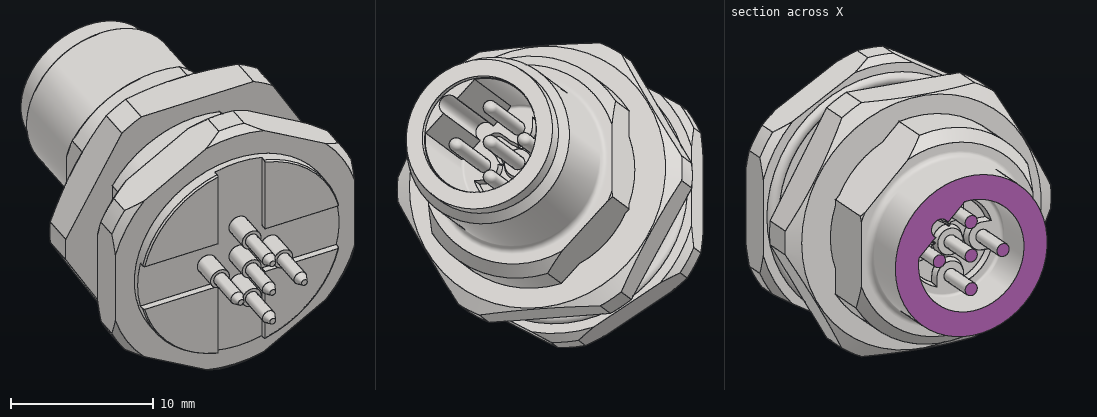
import cadquery as cq
import math


collar_end = 1.38
sleeve_bevel_end = 2.01
shoulder_x = 9.47
shoulder_fillet = 0.5
flange_front = 19.25
flange_thickness = 2.7
flange_rear = flange_front + flange_thickness
insert_rear = 22.45
pad_height = 0.5

collar_d = 10.8
sleeve_d = 12.0
barrel_d = 16.0
barrel_bevel = 0.83
flat_width = 13.52
flat_angles = (0, 45)
pad_gap = 3.73
rear_bevel_length = 0.17
rear_bevel_depth = 0.08

hex_width = 19.02
flange_corner_d = 20.9
flange_bevel = 0.52
nut_corner_d = 21.0
nut_front = 13.45
nut_thickness = 2.87
nut_bevel_length = 0.52
nut_face_d = 18.88
nut_bore_d = 14.35

bead_ring_r = 8.75
bead_tube_r = 0.52
bead_height = 0.3

mouth_d = 8.4
mouth_depth = 0.5
socket_d = 8.28
socket_floor = 8.97
socket_fillet = 0.25
key_angle = 45
key_flat_r = 3.25
key_notch_r = 0.7
key_notch_center_r = 3.42

pin_pitch_r = 2.5
pin_d = 1.0
pin_tip_x = 2.05
pin_shoulder_d = 1.5
pin_shoulder_end = 24.43
pin_cone_start = 27.0
pin_cone_end_d = 0.47
pin_end = 27.6

relief_depth = 0.5
relief_wall_run = 0.17
relief_taper = math.degrees(math.atan(relief_wall_run / relief_depth))
relief_r = 3.4
center_boss_d = 2.0
outer_boss_d = 2.1
lobe_center = 1.63
lobe_r = 0.65
lobe_neck = 1.3

pin_places = [(0, 0), (pin_pitch_r, 0), (0, pin_pitch_r), (-pin_pitch_r, 0), (0, -pin_pitch_r)]


def plane_at(x):
    """Cross-section plane at station x, with local axes Y and Z."""
    return cq.Workplane("YZ", origin=(x, 0, 0))


def disc(x_start, x_end, diameter):
    return plane_at(x_start).circle(diameter / 2).extrude(x_end - x_start)


def turned(points):
    """Solid turned about X from (x, radius) points."""
    return cq.Workplane("XY").polyline(points).close().revolve(360, (0, 0, 0), (1, 0, 0))


def hexagon(x_start, thickness, corner_angle):
    """Hexagonal prism whose first corner lies at corner_angle from +Y towards +Z."""
    corner_to_corner = hex_width / math.cos(math.radians(30))
    prism = plane_at(x_start).polygon(6, corner_to_corner).extrude(thickness)
    return prism.rotate((0, 0, 0), (1, 0, 0), corner_angle)


def sleeve():
    collar_r = collar_d / 2
    sleeve_r = sleeve_d / 2
    fillet_start = shoulder_x - shoulder_fillet
    fillet_mid = shoulder_fillet * math.sin(math.radians(45))
    return (
        cq.Workplane("XY")
        .moveTo(0, 0)
        .lineTo(0, collar_r)
        .lineTo(collar_end, collar_r)
        .lineTo(sleeve_bevel_end, sleeve_r)
        .lineTo(fillet_start, sleeve_r)
        .threePointArc(
            (fillet_start + fillet_mid, sleeve_r + shoulder_fillet - fillet_mid),
            (shoulder_x, sleeve_r + shoulder_fillet),
        )
        .lineTo(shoulder_x, 0)
        .close()
        .revolve(360, (0, 0, 0), (1, 0, 0))
    )


def barrel():
    body = disc(shoulder_x, flange_front, barrel_d).faces("<X").chamfer(barrel_bevel)
    for angle in flat_angles:
        slab = plane_at(shoulder_x).rect(flat_width, 2 * barrel_d).extrude(flange_front - shoulder_x)
        body = body.intersect(slab.rotate((0, 0, 0), (1, 0, 0), angle))
    return body


def flange():
    rounded_corners = disc(flange_front, flange_rear, flange_corner_d).faces("<X or >X").chamfer(flange_bevel)
    return hexagon(flange_front, flange_thickness, 90).intersect(rounded_corners)


def sealing_bead():
    bead_x = flange_front - bead_height + bead_tube_r
    return (
        cq.Workplane("XY")
        .center(bead_x, bead_ring_r)
        .circle(bead_tube_r)
        .revolve(360, (0, -bead_ring_r, 0), (1, -bead_ring_r, 0))
    )


def rear_end():
    """Contact insert behind the flange, its end face divided into four pads by crossed gaps."""
    barrel_r = barrel_d / 2
    pads_rear = insert_rear + pad_height
    body = turned([
        (flange_rear, 0),
        (flange_rear, barrel_r),
        (pads_rear - rear_bevel_length, barrel_r),
        (pads_rear, barrel_r - rear_bevel_depth),
        (pads_rear, 0),
    ])
    gap = plane_at(insert_rear).rect(pad_gap, barrel_d).extrude(pad_height)
    crossing_gap = plane_at(insert_rear).rect(barrel_d, pad_gap).extrude(pad_height)
    return body.cut(gap).cut(crossing_gap)


def socket():
    """Void of the mating socket, with a coding key left standing along its wall."""
    mouth = disc(0, mouth_depth, mouth_d)
    bore = disc(mouth_depth, socket_floor, socket_d).faces(">X").edges().fillet(socket_fillet)
    key_length = socket_floor - mouth_depth
    key = (
        plane_at(mouth_depth)
        .center(key_flat_r + socket_d / 2, 0)
        .rect(socket_d, socket_d)
        .extrude(key_length)
    )
    notch = (
        plane_at(mouth_depth)
        .center(key_notch_center_r, 0)
        .circle(key_notch_r)
        .extrude(key_length)
    )
    notch_opening = (
        plane_at(mouth_depth)
        .center(key_notch_center_r / 2, 0)
        .rect(key_notch_center_r, 2 * key_notch_r)
        .extrude(key_length)
    )
    void = bore.cut(key).union(notch).union(notch_opening)
    return mouth.union(void.rotate((0, 0, 0), (1, 0, 0), key_angle))


def floor_relief():
    """Void sunk in the socket floor: three open quadrants, a lobe by the key, islands at the contacts."""
    floor = plane_at(socket_floor)
    relief = floor.circle(relief_r).extrude(relief_depth, taper=relief_taper)
    key_quadrant = floor.rect(relief_r, relief_r, centered=False).extrude(relief_depth)
    lobe_side = lobe_r * math.cos(math.radians(45))
    near = lobe_center - lobe_side
    far = lobe_center + lobe_side
    lobe = (
        floor.moveTo(-lobe_r, -lobe_r)
        .lineTo(lobe_neck, 0)
        .lineTo(far, near)
        .threePointArc((far, far), (near, far))
        .lineTo(0, lobe_neck)
        .close()
        .extrude(relief_depth, taper=relief_taper)
    )
    relief = relief.cut(key_quadrant).union(lobe)
    relief = relief.cut(floor.circle(center_boss_d / 2).extrude(relief_depth, taper=-relief_taper))
    for quarter_turn in range(4):
        island = (
            floor.center(pin_pitch_r + relief_r / 2, 0)
            .slot2D(relief_r + outer_boss_d, outer_boss_d)
            .extrude(relief_depth, taper=-relief_taper)
            .rotate((0, 0, 0), (1, 0, 0), 90 * quarter_turn)
        )
        relief = relief.cut(island)
    return relief


def contact(y, z):
    pin_r = pin_d / 2
    dome = cq.Workplane("XY").sphere(pin_r).translate((pin_tip_x + pin_r, 0, 0))
    shank = disc(pin_tip_x + pin_r, pin_cone_start, pin_d)
    shoulder = disc(insert_rear, pin_shoulder_end, pin_shoulder_d)
    cone = turned([
        (pin_cone_start, 0),
        (pin_cone_start, pin_r),
        (pin_end, pin_cone_end_d / 2),
        (pin_end, 0),
    ])
    return dome.union(shank).union(shoulder).union(cone).translate((0, y, z))


def make_housing():
    body = sleeve().union(barrel()).union(flange()).union(sealing_bead()).union(rear_end())
    body = body.cut(socket()).cut(floor_relief())
    for y, z in pin_places:
        body = body.union(contact(y, z))
    return body


def make_nut(mating_housing):
    """Hexagon nut; its bore is the thread's core, opened where the barrel's thread engages it."""
    nut_rear = nut_front + nut_thickness
    bevelled_corners = turned([
        (nut_front, 0),
        (nut_front, nut_face_d / 2),
        (nut_front + nut_bevel_length, nut_corner_d / 2),
        (nut_rear, nut_corner_d / 2),
        (nut_rear, 0),
    ])
    body = hexagon(nut_front, nut_thickness, 0).intersect(bevelled_corners)
    return body.cut(disc(nut_front, nut_rear, nut_bore_d)).cut(mating_housing)


housing = make_housing()
nut = make_nut(housing)
result = cq.Compound.makeCompound([housing.solids().val(), nut.solids().val()])